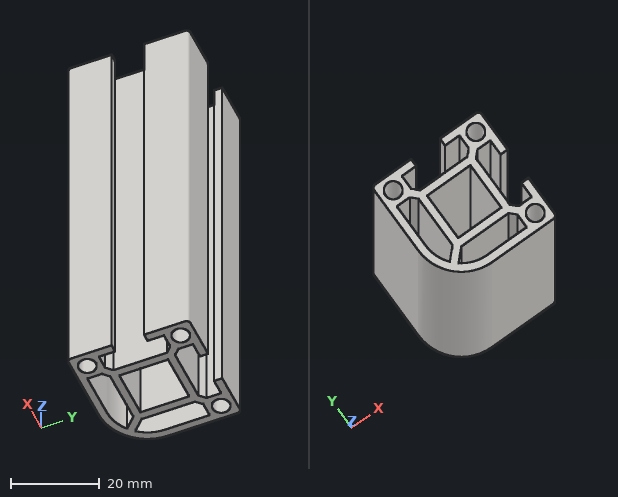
import cadquery as cq

side = 30.0
length = 100.0
half_side = side / 2

wall = 2.0
core_bore = 12.0
core_half = core_bore / 2 + wall
web_angles = (45, 135)

large_radius = 12.0
small_radius = 1.0

mouth_width = 8.0
hole_diameter = 4.2
hole_offset = 11.5

cavity_limit = half_side - wall


def block(x_min, x_max, y_min, y_max):
    """Full-length box spanning the given X and Y limits."""
    return (
        cq.Workplane("XY")
        .center((x_min + x_max) / 2, (y_min + y_max) / 2)
        .rect(x_max - x_min, y_max - y_min)
        .extrude(length)
    )


def make_envelope():
    """Square bar with one large rounded corner and three small ones."""
    square = block(-half_side, half_side, -half_side, half_side)
    rounded = square.edges("|Z").edges("<X and <Y").fillet(large_radius)
    corners = rounded.edges("|Z").edges(">X or >Y")
    return corners.fillet(small_radius)


def make_closed_chambers():
    """L-shaped space along the -X and -Y walls, following the large corner."""
    inner = block(-cavity_limit, core_half, -cavity_limit, core_half)
    inner = inner.edges("|Z").edges("<X and <Y").fillet(large_radius - wall)
    core_region = block(-core_half, core_half, -core_half, core_half)
    return inner.cut(core_region)


def make_open_slots():
    """Undercut spaces of the T-slots on the +X and +Y faces."""
    x_slot = block(core_half, cavity_limit, -core_half, core_half)
    y_slot = block(-core_half, core_half, core_half, cavity_limit)
    return x_slot.union(y_slot)


def make_mouths():
    """Narrow openings joining the T-slots to the outside."""
    half_mouth = mouth_width / 2
    x_mouth = block(cavity_limit, half_side, -half_mouth, half_mouth)
    y_mouth = block(-half_mouth, half_mouth, cavity_limit, half_side)
    return x_mouth.union(y_mouth)


def make_diagonal_web(angle):
    """Diagonal plate tying opposite corners to the core."""
    web = cq.Workplane("XY").rect(2 * side, wall).extrude(length)
    return web.rotate((0, 0, 0), (0, 0, 1), angle)


cavities = make_closed_chambers().union(make_open_slots())
for web_angle in web_angles:
    cavities = cavities.cut(make_diagonal_web(web_angle))

hole_centres = [
    (-hole_offset, hole_offset),
    (hole_offset, hole_offset),
    (hole_offset, -hole_offset),
]
holes = cq.Workplane("XY").pushPoints(hole_centres).circle(hole_diameter / 2).extrude(length)

bore = cq.Workplane("XY").rect(core_bore, core_bore).extrude(length)

result = make_envelope().cut(cavities).cut(make_mouths()).cut(bore).cut(holes)